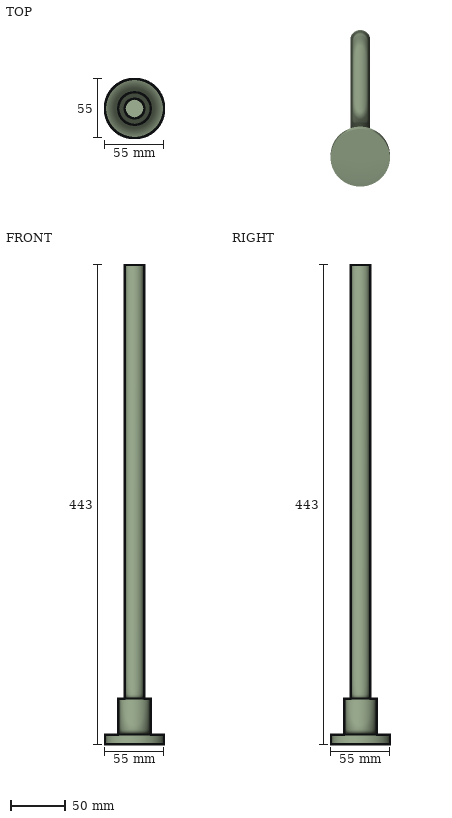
import cadquery as cq

total_height = 443.0
flange_diameter = 55.0
flange_thickness = 9.0
hub_diameter = 30.0
hub_top = 42.0
rod_diameter = 18.0


def make_base():
    """Round flange with a coaxial hub standing on it."""
    flange = cq.Workplane("XY").circle(flange_diameter / 2).extrude(flange_thickness)
    hub = cq.Workplane("XY").circle(hub_diameter / 2).extrude(hub_top)
    return flange.union(hub)


def make_rod():
    """Plain round rod standing on the top face of the hub."""
    rod_length = total_height - hub_top
    return cq.Workplane("XY").workplane(offset=hub_top).circle(rod_diameter / 2).extrude(rod_length)


base = make_base()
rod = make_rod()

result = cq.Compound.makeCompound([base.val(), rod.val()])